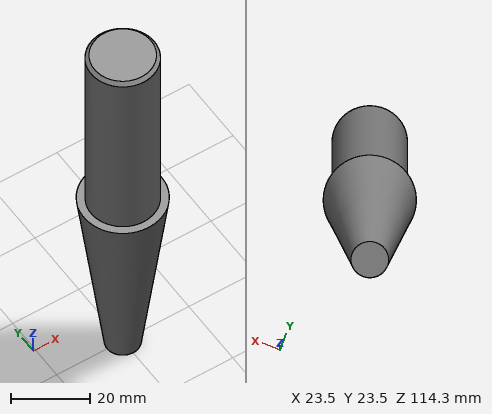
import cadquery as cq

total_length = 114.3
head_length = 57.4
shank_length = total_length - head_length

head_top_diameter = 23.5
head_tip_diameter = 9.5

shank_diameter = 19.1
shank_chamfer = 1.0


def make_head():
    """Cone frustum standing on its narrow tip at Z = 0."""
    return (
        cq.Workplane("XY")
        .circle(head_tip_diameter / 2)
        .workplane(offset=head_length)
        .circle(head_top_diameter / 2)
        .loft(ruled=True)
    )


def make_shank():
    """Round shank resting on the wide face of the head, chamfered at its free end."""
    return (
        cq.Workplane("XY", origin=(0, 0, head_length))
        .circle(shank_diameter / 2)
        .extrude(shank_length)
        .faces(">Z")
        .chamfer(shank_chamfer)
    )


head = make_head()
shank = make_shank()

result = cq.Compound.makeCompound([head.val(), shank.val()])